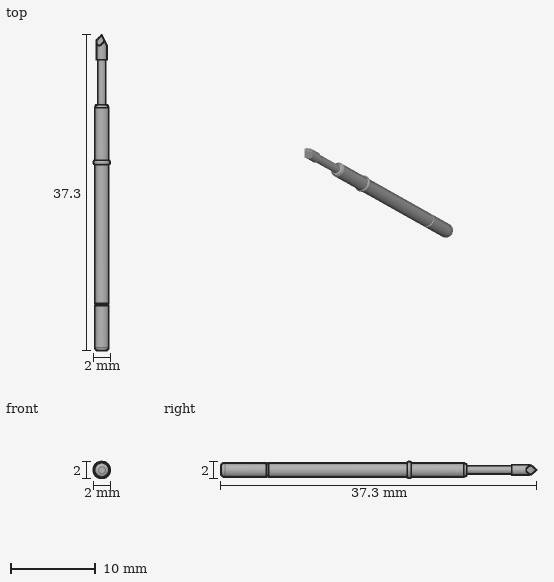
import cadquery as cq
import math

total_length = 37.3

barrel_radius = 1.7 / 2
barrel_length = 29.05
tail_round = 0.45
mouth_chamfer_length = 0.35
mouth_chamfer_depth = 0.17
ring_radius = 2.0 / 2
ring_width = 0.5
ring_center = 22.25
groove_start = 5.35
groove_floor_width = 0.1
groove_slope_width = 0.2
groove_depth = 0.12

shaft_radius = 1.0 / 2
head_radius = 1.25 / 2
head_length = 2.95
tip_facets = 3
tip_edge_angle = 45


def make_barrel():
    """Solid of revolution: rounded tail, one-sided tapered groove, retaining ring and chamfered mouth."""
    arc_middle = math.sqrt(0.5)
    tail_flat = barrel_radius - tail_round
    groove_floor_radius = barrel_radius - groove_depth
    groove_floor_end = groove_start + groove_floor_width
    tail_middle = (tail_flat + tail_round * arc_middle, tail_round * (1 - arc_middle))
    profile = (
        cq.Workplane("XY")
        .moveTo(0, 0)
        .lineTo(tail_flat, 0)
        .threePointArc(tail_middle, (barrel_radius, tail_round))
        .lineTo(barrel_radius, groove_start)
        .lineTo(groove_floor_radius, groove_start)
        .lineTo(groove_floor_radius, groove_floor_end)
        .lineTo(barrel_radius, groove_floor_end + groove_slope_width)
        .lineTo(barrel_radius, ring_center - ring_width / 2)
        .threePointArc((ring_radius, ring_center), (barrel_radius, ring_center + ring_width / 2))
        .lineTo(barrel_radius, barrel_length - mouth_chamfer_length)
        .lineTo(barrel_radius - mouth_chamfer_depth, barrel_length)
        .lineTo(0, barrel_length)
        .close()
    )
    return profile.revolve(360, (0, 0, 0), (0, 1, 0))


def cut_tip_facets(head):
    """Cut the head to a three-sided point with one edge on the -X side."""
    edge_slope = math.tan(math.radians(tip_edge_angle))
    facet_slope = edge_slope * math.cos(math.pi / tip_facets)
    waste_profile = (
        cq.Workplane("XY")
        .moveTo(0, total_length)
        .lineTo(head_length * facet_slope, total_length - head_length)
        .lineTo(head_length * facet_slope, total_length)
        .close()
    )
    waste = waste_profile.extrude(2 * head_radius, both=True)
    for index in range(tip_facets):
        head = head.cut(waste.rotate((0, 0, 0), (0, 1, 0), index * 360 / tip_facets))
    return head


def make_plunger():
    """Shaft standing on the barrel mouth, with a thicker head cut to a three-sided point."""
    head_start = total_length - head_length
    shaft = cq.Workplane("XZ", origin=(0, barrel_length, 0)).circle(shaft_radius)
    shaft = shaft.extrude(barrel_length - head_start)
    head = cq.Workplane("XZ", origin=(0, head_start, 0)).circle(head_radius).extrude(-head_length)
    return shaft.union(cut_tip_facets(head))


barrel = make_barrel()
plunger = make_plunger()

result = cq.Compound.makeCompound([barrel.val(), plunger.val()])